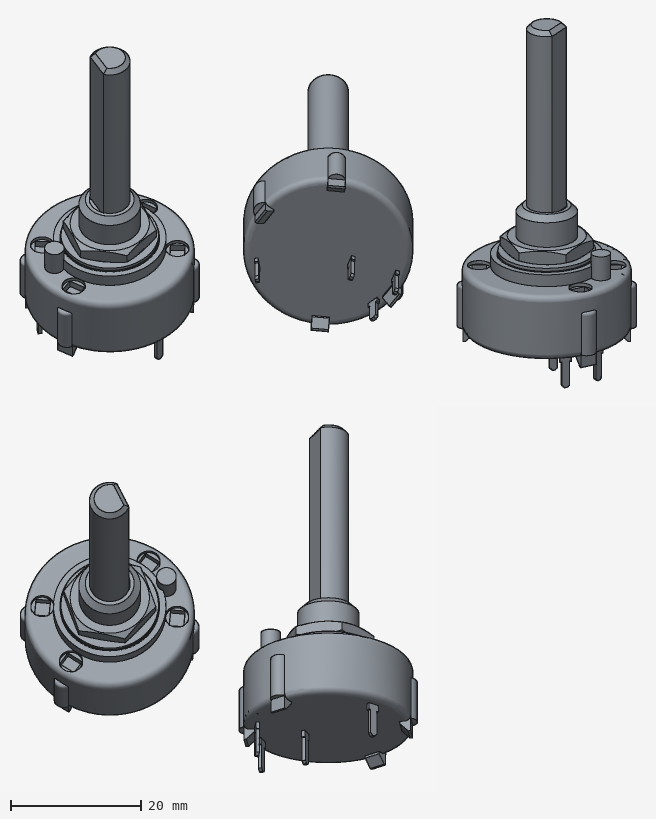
import cadquery as cq
import math

TOTAL_HEIGHT = 55.8
HOUSING_BOTTOM = 5.35
HOUSING_TOP = 15.85
DISC_TOP = 17.8
SEAT_TOP = 17.9
WASHER_TOP = 18.4
NUT_TOP = 20.75
BUSHING_TOP = 25.85
STUD_TOP = 19.8

HOUSING_DIAMETER = 26.0
HOUSING_FILLET = 1.0
DISC_DIAMETER = 17.3
GROOVE_DIAMETER = 15.3
GROOVE_DEPTH = 0.3

STUD_DIAMETER = 3.0
STUD_RADIUS = 9.6

BUSHING_DIAMETER = 9.5
BUSHING_CHAMFER = 1.0

WASHER_DIAMETER = 15.0
NUT_ACROSS_FLATS = 12.5
NUT_ROTATION = -6.0
HEXAGON_HALF_ANGLE = 30.0
NUT_CHAMFER_CIRCLE = 12.15
NUT_CHAMFER_ANGLE = 24.0

SHAFT_DIAMETER = 6.25
SHAFT_CHAMFER = 0.7
FLAT_OFFSET = 2.25
FLAT_RUNOUT = 0.55

LEG_ANGLES = [60.0, 120.0, 240.0, 300.0]
LEG_WIDTH = 2.7
LEG_OUTER_RADIUS = 12.9
LEG_INNER_RADIUS = 11.2
LEG_BOTTOM = 3.7
LEG_CHAMFER = 1.3
RIB_DIAMETER = 3.0
RIB_OUTER_RADIUS = 13.8
RIB_BOTTOM = 5.8
RIB_TOP = 12.85
RIB_FILLET = 0.45
POCKET_RADIUS = 10.4
POCKET_DIAMETER = 3.55
POCKET_DEPTH = 0.55
SLOT_LENGTH = 2.25
SLOT_DEPTH = 1.7

PIN_RING_RADIUS = 11.05
COMMON_PIN_RADIUS = 3.8
PIN_PLACES = [
    (PIN_RING_RADIUS, 15.0),
    (PIN_RING_RADIUS, 225.0),
    (PIN_RING_RADIUS, 255.0),
    (COMMON_PIN_RADIUS, 225.0),
]
PIN_WIDTH = 1.2
PIN_THICKNESS = 0.55
PIN_NECK_WIDTH = 1.8
PIN_NECK_BOTTOM = 4.3
PIN_TIP_CHAMFER = 0.4


def cylinder(diameter, bottom, top):
    return cq.Workplane("XY").workplane(offset=bottom).circle(diameter / 2).extrude(top - bottom)


def block(length, width, bottom, top):
    return cq.Workplane("XY").workplane(offset=bottom).rect(length, width).extrude(top - bottom)


def place(shape, radius, angle):
    """Move a shape out along +X, then swing it around the Z axis."""
    return shape.translate((radius, 0, 0)).rotate((0, 0, 0), (0, 0, 1), angle)


def make_case():
    case = cylinder(HOUSING_DIAMETER, HOUSING_BOTTOM, HOUSING_TOP).edges().fillet(HOUSING_FILLET)
    disc = cylinder(DISC_DIAMETER, HOUSING_TOP, DISC_TOP)
    groove = cylinder(GROOVE_DIAMETER, DISC_TOP - GROOVE_DEPTH, DISC_TOP)
    seat = cylinder(WASHER_DIAMETER, DISC_TOP - GROOVE_DEPTH, SEAT_TOP)
    return case.union(disc).cut(groove).union(seat)


def make_pocket():
    top_recess = cylinder(POCKET_DIAMETER, HOUSING_TOP - POCKET_DEPTH, HOUSING_TOP)
    slot = block(SLOT_LENGTH, LEG_WIDTH, HOUSING_TOP - SLOT_DEPTH, HOUSING_TOP)
    return top_recess.union(slot.intersect(cylinder(POCKET_DIAMETER, 0, HOUSING_TOP)))


def make_leg():
    depth = LEG_OUTER_RADIUS - LEG_INNER_RADIUS
    leg = block(depth, LEG_WIDTH, LEG_BOTTOM, RIB_BOTTOM)
    return leg.edges("<X and <Z").chamfer(LEG_CHAMFER)


def make_rib():
    rib = cylinder(RIB_DIAMETER, RIB_BOTTOM, RIB_TOP).faces(">Z").edges().fillet(RIB_FILLET)
    return rib.intersect(block(RIB_DIAMETER, LEG_WIDTH, RIB_BOTTOM, RIB_TOP))


def make_pin():
    blade = block(PIN_THICKNESS, PIN_WIDTH, 0, HOUSING_BOTTOM)
    blade = blade.faces("<Z").edges("|X").chamfer(PIN_TIP_CHAMFER)
    neck = block(PIN_THICKNESS, PIN_NECK_WIDTH, PIN_NECK_BOTTOM, HOUSING_BOTTOM)
    return blade.union(neck)


def make_bushing():
    return cylinder(BUSHING_DIAMETER, SEAT_TOP, BUSHING_TOP).faces(">Z").chamfer(BUSHING_CHAMFER)


def make_shaft():
    shaft = cylinder(SHAFT_DIAMETER, SEAT_TOP, TOTAL_HEIGHT)
    flat_bottom = BUSHING_TOP - FLAT_RUNOUT
    beyond_flat = block(SHAFT_DIAMETER, SHAFT_DIAMETER, flat_bottom, TOTAL_HEIGHT)
    beyond_flat = beyond_flat.translate((0, -FLAT_OFFSET - SHAFT_DIAMETER / 2, 0))
    return shaft.cut(beyond_flat).faces(">Z").chamfer(SHAFT_CHAMFER)


def make_switch():
    switch = make_case()
    for angle in LEG_ANGLES:
        switch = switch.cut(place(make_pocket(), POCKET_RADIUS, angle))
        switch = switch.union(place(make_rib(), RIB_OUTER_RADIUS - RIB_DIAMETER / 2, angle))
        switch = switch.union(place(make_leg(), (LEG_OUTER_RADIUS + LEG_INNER_RADIUS) / 2, angle))
    for radius, angle in PIN_PLACES:
        switch = switch.union(place(make_pin(), radius, angle))
    stud = cylinder(STUD_DIAMETER, HOUSING_TOP, STUD_TOP).translate((0, -STUD_RADIUS, 0))
    shaft_bore = cylinder(SHAFT_DIAMETER, SEAT_TOP, BUSHING_TOP)
    bushing_with_shaft = make_bushing().cut(shaft_bore).union(make_shaft())
    return switch.union(stud).union(bushing_with_shaft)


def make_nut_with_washer():
    height = NUT_TOP - WASHER_TOP
    across_corners = NUT_ACROSS_FLATS / math.cos(math.radians(HEXAGON_HALF_ANGLE))
    hexagon = cq.Workplane("XY").workplane(offset=WASHER_TOP).polygon(6, across_corners).extrude(height)
    corner_reach = (across_corners - NUT_CHAMFER_CIRCLE) / 2
    corner_drop = corner_reach * math.tan(math.radians(NUT_CHAMFER_ANGLE))
    envelope = cylinder(across_corners, WASHER_TOP, NUT_TOP)
    envelope = envelope.faces(">Z").chamfer(corner_drop, corner_reach)
    envelope = envelope.faces("<Z").chamfer(corner_drop, corner_reach)
    nut = hexagon.intersect(envelope).rotate((0, 0, 0), (0, 0, 1), NUT_ROTATION)
    washer = cylinder(WASHER_DIAMETER, SEAT_TOP, WASHER_TOP)
    return nut.union(washer).cut(cylinder(BUSHING_DIAMETER, SEAT_TOP, NUT_TOP))


switch = make_switch().solids()
nut_with_washer = make_nut_with_washer().solids()

result = cq.Compound.makeCompound([switch.val(), nut_with_washer.val()])